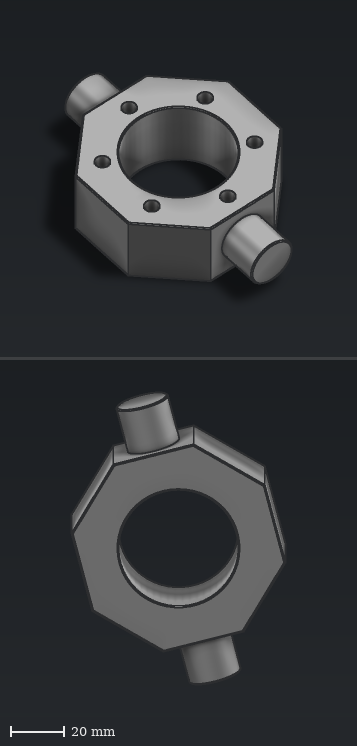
import cadquery as cq
import math

side_count = 8
across_flats = 75.0
height = 30.0
bore_diameter = 45.0
edge_chamfer = 0.5

overall_length = 110.0
pin_diameter = 20.0
pin_length = (overall_length - across_flats) / 2

hole_count = 6
hole_diameter = 6.0
hole_circle_diameter = 58.0
hole_depth = 20.0


def make_body():
    """Octagonal prism with flats on X and Y, bored through, all rims chamfered."""
    across_corners = across_flats / math.cos(math.pi / side_count)
    half_side_angle = 180 / side_count
    return (
        cq.Workplane("XY")
        .polygon(side_count, across_corners)
        .extrude(height / 2, both=True)
        .rotate((0, 0, 0), (0, 0, 1), half_side_angle)
        .faces(">Z")
        .workplane()
        .hole(bore_diameter)
        .faces("|Z")
        .edges()
        .chamfer(edge_chamfer)
    )


def make_pin(side):
    """Round pin standing on the flat facing +X (side = 1) or -X (side = -1)."""
    end_face = ">X" if side > 0 else "<X"
    return (
        cq.Workplane("YZ", origin=(side * across_flats / 2, 0, 0))
        .circle(pin_diameter / 2)
        .extrude(side * pin_length)
        .faces(end_face)
        .chamfer(edge_chamfer)
    )


def make_holes():
    """Cutters for the ring of blind holes, the first one on the +X axis."""
    return (
        cq.Workplane("XY", origin=(0, 0, height / 2))
        .polarArray(hole_circle_diameter / 2, 0, 360, hole_count)
        .circle(hole_diameter / 2)
        .extrude(-hole_depth)
    )


result = make_body()
for side in (-1, 1):
    result = result.union(make_pin(side))
result = result.cut(make_holes())